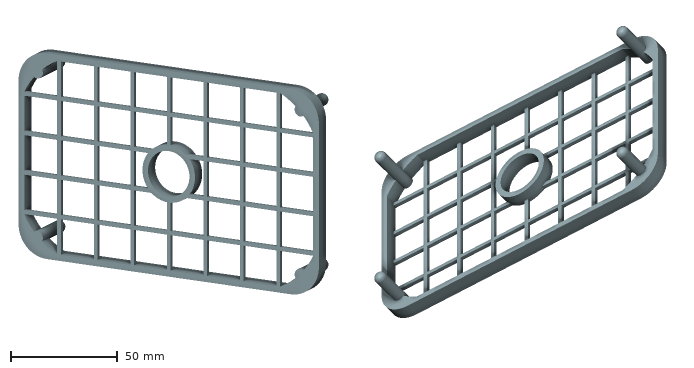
import cadquery as cq
import math

length = 160.0
height = 100.0
thickness = 7.0
corner_radius = 15.0
wall = 3.0

columns = 8
rows = 5
bar_width = 2.0
bar_depth = 2.0

ring_outer_diameter = 28.0
ring_inner_diameter = 22.0

web_arc_sagitta = 2.0
pin_diameter = 6.0
pin_inset = 10.0
pin_tip_fillet = 2.5
overall_depth = 24.0

inner_length = length - 2 * wall
inner_height = height - 2 * wall
cell_length = (inner_length - (columns - 1) * bar_width) / columns
cell_height = (inner_height - (rows - 1) * bar_width) / rows
pin_radius = pin_diameter / 2
corners = [(side_x, side_z) for side_x in (-1, 1) for side_z in (-1, 1)]


def front_plane():
    """XZ workplane on the front face."""
    return cq.Workplane("XZ")


def extrude_back(sketch, depth):
    """Extrude a front-face outline towards +Y."""
    return sketch.extrude(-depth)


def make_frame():
    """Rounded plate with an opening whose corners are cut off by shallow web arcs."""
    plate = extrude_back(front_plane().rect(length, height), thickness)
    plate = plate.edges("|Y").fillet(corner_radius)
    opening = extrude_back(front_plane().rect(inner_length, inner_height), thickness)
    for side_x, side_z in corners:
        opening = opening.cut(make_web(side_x, side_z))
    return plate.cut(opening)


def make_bars():
    column_pitch = cell_length + bar_width
    row_pitch = cell_height + bar_width
    bar_x = [(i - columns / 2) * column_pitch for i in range(1, columns)]
    bar_z = [(i - rows / 2) * row_pitch for i in range(1, rows)]
    uprights = front_plane().pushPoints([(x, 0) for x in bar_x]).rect(bar_width, inner_height + wall)
    crossbars = front_plane().pushPoints([(0, z) for z in bar_z]).rect(inner_length + wall, bar_width)
    return extrude_back(uprights, bar_depth).union(extrude_back(crossbars, bar_depth))


def make_web(side_x, side_z):
    """Block filling one corner of the opening up to a shallow arc across the corner cell."""
    corner = (inner_length / 2, inner_height / 2)
    arc_start = (corner[0] - cell_length, corner[1])
    arc_end = (corner[0], corner[1] - cell_height)
    chord = math.hypot(cell_length, cell_height)
    arc_middle = (
        corner[0] - cell_length / 2 + web_arc_sagitta * cell_height / chord,
        corner[1] - cell_height / 2 + web_arc_sagitta * cell_length / chord,
    )

    def place(point):
        return (side_x * point[0], side_z * point[1])

    outline = (
        front_plane()
        .moveTo(*place(arc_start))
        .threePointArc(place(arc_middle), place(arc_end))
        .lineTo(*place(corner))
        .close()
    )
    return extrude_back(outline, thickness)


def make_pin(side_x, side_z):
    """Round pin from the front face, with a rounded tip."""
    x = side_x * (length / 2 - pin_inset)
    z = side_z * (height / 2 - pin_inset)
    pin = extrude_back(front_plane().center(x, z).circle(pin_radius), overall_depth)
    return pin.faces(">Y").edges().fillet(pin_tip_fillet)


def ring_cylinder(diameter):
    return extrude_back(front_plane().circle(diameter / 2), thickness)


result = make_frame().union(make_bars())
for side_x, side_z in corners:
    result = result.union(make_pin(side_x, side_z))
result = result.union(ring_cylinder(ring_outer_diameter)).cut(ring_cylinder(ring_inner_diameter))